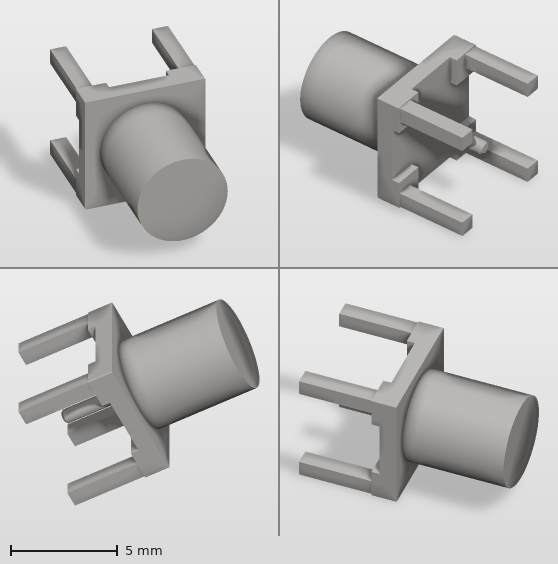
import cadquery as cq

total_length = 10.01
leg_length = 3.66
standoff_height = 0.4
flange_thickness = 0.86
pin_tip_x = 0.88

flange_width = 5.99
flange_corner_radius = 0.06
standoff_width = 1.5
leg_width = 0.79
leg_inset = 0.06

barrel_diameter = 4.49
pin_diameter = 0.7
pin_chamfer = 0.12

flange_back_x = leg_length + standoff_height
flange_front_x = flange_back_x + flange_thickness
corner_signs = [(y, z) for y in (-1, 1) for z in (-1, 1)]


def square_bar(x_start, x_end, width, y_center=0, z_center=0):
    """Square bar running along X between two positions."""
    return cq.Workplane("YZ", origin=(x_start, y_center, z_center)).rect(width, width).extrude(x_end - x_start)


def round_bar(x_start, x_end, diameter):
    """Cylinder on the X axis between two positions."""
    return cq.Workplane("YZ", origin=(x_start, 0, 0)).circle(diameter / 2).extrude(x_end - x_start)


block = square_bar(leg_length, flange_front_x, flange_width).edges("|X").fillet(flange_corner_radius)
relief_width = flange_width - 2 * standoff_width
relief_center_x = leg_length + standoff_height / 2
for relief_size in ((relief_width, flange_width), (flange_width, relief_width)):
    relief = cq.Workplane("XY").box(standoff_height, *relief_size)
    block = block.cut(relief.translate((relief_center_x, 0, 0)))

barrel = round_bar(flange_front_x, total_length, barrel_diameter)
pin = round_bar(pin_tip_x, flange_back_x, pin_diameter).faces("<X").chamfer(pin_chamfer)
result = block.union(barrel).union(pin)

leg_offset = flange_width / 2 - leg_inset - leg_width / 2
for y_sign, z_sign in corner_signs:
    result = result.union(square_bar(0, leg_length, leg_width, y_sign * leg_offset, z_sign * leg_offset))